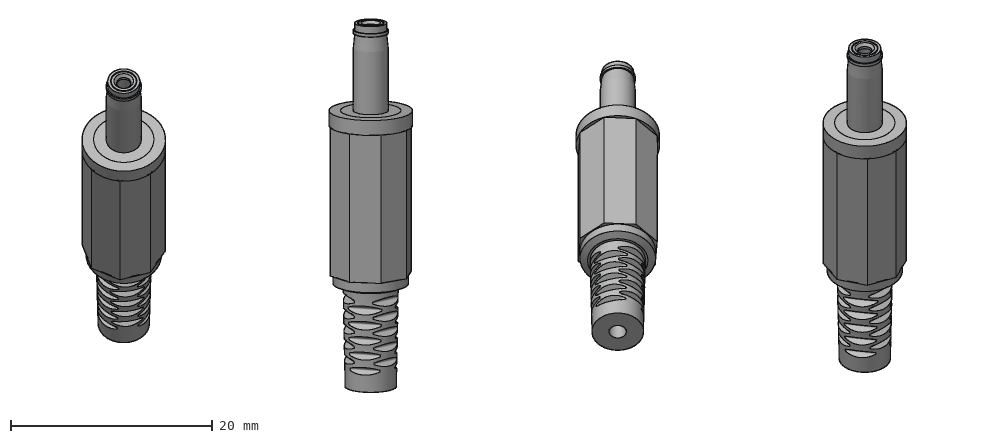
import cadquery as cq
import math

TOTAL_LENGTH = 37.2
GRIP_BOTTOM = 11.55
COLLAR_BOTTOM = 26.7
COLLAR_TOP = 28.25

GRIP_DIAMETER = 8.3
GRIP_SIDES = 8
RING_DIAMETER = 7.5
RING_HEIGHT = 1.0
RING_CHAMFER_HEIGHT = 0.3
RING_UNDERSIDE_DIAMETER = 6.0
RELIEF_TOP_DIAMETER = 5.5
RELIEF_END_DIAMETER = 5.15

GROOVE_COLUMNS = 6
GROOVES_PER_COLUMN = 5
GROOVE_PITCH = 1.55
LOWEST_GROOVE_Z = 2.15
FIRST_COLUMN_ANGLE = 30.0
GROOVE_FLOOR_RADIUS = 2.1
GROOVE_TIP_RADIUS = 0.15
GROOVE_HALF_ANGLE = 30.0

FLANGE_DIAMETER = 6.0
FLANGE_THICKNESS = COLLAR_TOP - COLLAR_BOTTOM
FLANGE_BOTTOM = COLLAR_TOP - FLANGE_THICKNESS
BARREL_DIAMETER = 3.5
SHOULDER_Z = 34.65
NECK_DIAMETER = 3.2
BEAD_BOTTOM_Z = 36.15
BEAD_TOP_Z = 36.5

FACE_GROOVE_OUTER_DIAMETER = 2.6
FACE_GROOVE_INNER_DIAMETER = 2.5
FACE_GROOVE_DEPTH = 0.1

MOUTH_DIAMETER = 1.95
LIP_DIAMETER = 1.4
BORE_DIAMETER = 1.7
MOUTH_DEPTH = 0.3
LIP_END_DEPTH = 0.55


def cylinder(diameter, bottom, top):
    return cq.Workplane("XY").workplane(offset=bottom).circle(diameter / 2).extrude(top - bottom)


def revolved(profile):
    """Turn a closed profile of (radius, z) points around the Z axis."""
    return cq.Workplane("XZ").polyline(profile).close().revolve(360, (0, 0), (0, 1))


def grip():
    octagon = (
        cq.Workplane("XY")
        .workplane(offset=GRIP_BOTTOM)
        .polygon(GRIP_SIDES, GRIP_DIAMETER)
        .extrude(COLLAR_BOTTOM - GRIP_BOTTOM)
    )
    return octagon.union(cylinder(GRIP_DIAMETER, COLLAR_BOTTOM, COLLAR_TOP))


def ring_and_relief():
    ring_bottom = GRIP_BOTTOM - RING_HEIGHT
    relief_top = ring_bottom - RING_CHAMFER_HEIGHT
    return revolved([
        (0, 0),
        (RELIEF_END_DIAMETER / 2, 0),
        (RELIEF_TOP_DIAMETER / 2, relief_top),
        (RING_UNDERSIDE_DIAMETER / 2, relief_top),
        (RING_DIAMETER / 2, ring_bottom),
        (RING_DIAMETER / 2, GRIP_BOTTOM),
        (0, GRIP_BOTTOM),
    ])


def groove_cutter():
    """Rounded V wedge opening towards +X, its floor running straight along Y at z = 0."""
    half_angle = math.radians(GROOVE_HALF_ANGLE)
    tip_center = GROOVE_FLOOR_RADIUS + GROOVE_TIP_RADIUS
    tangent_x = tip_center - GROOVE_TIP_RADIUS * math.sin(half_angle)
    tangent_z = GROOVE_TIP_RADIUS * math.cos(half_angle)
    mouth_x = RELIEF_TOP_DIAMETER / 2
    mouth_z = tangent_z + (mouth_x - tangent_x) * math.tan(half_angle)
    return (
        cq.Workplane("XZ")
        .moveTo(mouth_x, -mouth_z)
        .lineTo(tangent_x, -tangent_z)
        .threePointArc((GROOVE_FLOOR_RADIUS, 0), (tangent_x, tangent_z))
        .lineTo(mouth_x, mouth_z)
        .close()
        .extrude(RELIEF_TOP_DIAMETER / 2, both=True)
    )


def cut_flex_grooves(body):
    cutter = groove_cutter()
    for column in range(GROOVE_COLUMNS):
        angle = FIRST_COLUMN_ANGLE + column * 360 / GROOVE_COLUMNS
        column_z = LOWEST_GROOVE_Z + column % 2 * GROOVE_PITCH / 2
        for row in range(GROOVES_PER_COLUMN):
            z = column_z + row * GROOVE_PITCH
            body = body.cut(cutter.rotate((0, 0, 0), (0, 0, 1), angle).translate((0, 0, z)))
    return body


def make_housing():
    body = cut_flex_grooves(grip().union(ring_and_relief()))
    flange_pocket = cylinder(FLANGE_DIAMETER, FLANGE_BOTTOM, COLLAR_TOP)
    cable_hole = cylinder(BORE_DIAMETER, 0, COLLAR_TOP)
    return body.cut(flange_pocket).cut(cable_hole)


def make_plug():
    lip_bottom = TOTAL_LENGTH - LIP_END_DEPTH
    outside = [
        (BORE_DIAMETER / 2, FLANGE_BOTTOM),
        (FLANGE_DIAMETER / 2, FLANGE_BOTTOM),
        (FLANGE_DIAMETER / 2, COLLAR_TOP),
        (BARREL_DIAMETER / 2, COLLAR_TOP),
        (BARREL_DIAMETER / 2, SHOULDER_Z),
        (NECK_DIAMETER / 2, BEAD_BOTTOM_Z),
        (BARREL_DIAMETER / 2, BEAD_BOTTOM_Z),
        (BARREL_DIAMETER / 2, BEAD_TOP_Z),
        (NECK_DIAMETER / 2, BEAD_TOP_Z),
        (NECK_DIAMETER / 2, TOTAL_LENGTH),
    ]
    face_groove = [
        (FACE_GROOVE_OUTER_DIAMETER / 2, TOTAL_LENGTH),
        ((FACE_GROOVE_OUTER_DIAMETER + FACE_GROOVE_INNER_DIAMETER) / 4, TOTAL_LENGTH - FACE_GROOVE_DEPTH),
        (FACE_GROOVE_INNER_DIAMETER / 2, TOTAL_LENGTH),
    ]
    inside = [
        (MOUTH_DIAMETER / 2, TOTAL_LENGTH),
        (LIP_DIAMETER / 2, TOTAL_LENGTH - MOUTH_DEPTH),
        (LIP_DIAMETER / 2, lip_bottom),
        (BORE_DIAMETER / 2, lip_bottom),
    ]
    return revolved(outside + face_groove + inside)


housing = make_housing()
plug = make_plug()

result = cq.Compound.makeCompound([housing.val(), plug.val()])